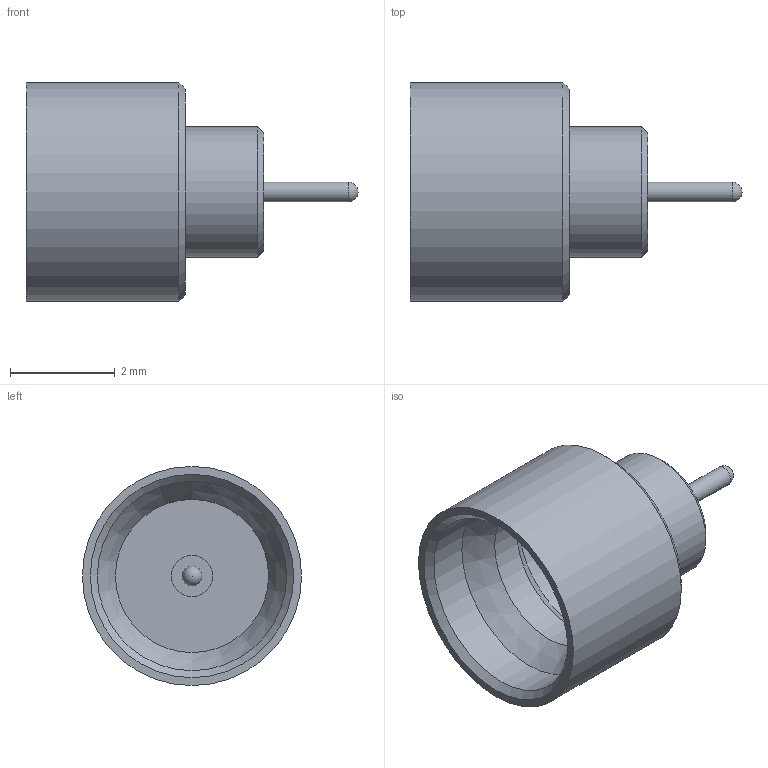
import cadquery as cq


body_radius = 2.095
body_length = 3.05
body_chamfer = 0.13
boss_radius = 1.25
boss_end = 4.55
boss_chamfer = 0.12

mouth_radius = 1.944
mouth_chamfer_depth = 0.136
entry_radius = 1.81
entry_end = 0.888
throat_radius = 1.464
throat_start = 1.43
throat_end = 2.03
groove_radius = 1.62
groove_start = 2.24
floor_position = 2.54

recess_radius = 0.397
recess_depth = 0.1

pin_radius = 0.19
pin_front = 1.54
pin_rear = 6.35


def revolve_about_x(profile):
    return profile.close().revolve(360, (0, 0, 0), (1, 0, 0))


def make_body():
    profile = (
        cq.Workplane("XZ")
        .moveTo(0, 0)
        .lineTo(0, body_radius)
        .lineTo(body_length - body_chamfer, body_radius)
        .lineTo(body_length, body_radius - body_chamfer)
        .lineTo(body_length, boss_radius)
        .lineTo(boss_end - boss_chamfer, boss_radius)
        .lineTo(boss_end, boss_radius - boss_chamfer)
        .lineTo(boss_end, 0)
    )
    return revolve_about_x(profile)


def make_socket():
    """Cavity with a lead-in, a narrow throat and a wider retaining groove behind it."""
    recess_floor = floor_position + recess_depth
    profile = (
        cq.Workplane("XZ")
        .moveTo(0, 0)
        .lineTo(0, mouth_radius)
        .lineTo(mouth_chamfer_depth, entry_radius)
        .lineTo(entry_end, entry_radius)
        .lineTo(throat_start, throat_radius)
        .lineTo(throat_end, throat_radius)
        .lineTo(groove_start, groove_radius)
        .lineTo(floor_position, groove_radius)
        .lineTo(floor_position, recess_radius)
        .lineTo(recess_floor, recess_radius)
        .lineTo(recess_floor, 0)
    )
    return revolve_about_x(profile)


def make_pin():
    profile = (
        cq.Workplane("XZ")
        .moveTo(pin_front, 0)
        .radiusArc((pin_front + pin_radius, pin_radius), pin_radius)
        .lineTo(pin_rear - pin_radius, pin_radius)
        .radiusArc((pin_rear, 0), pin_radius)
    )
    return revolve_about_x(profile)


result = make_body().cut(make_socket()).union(make_pin())